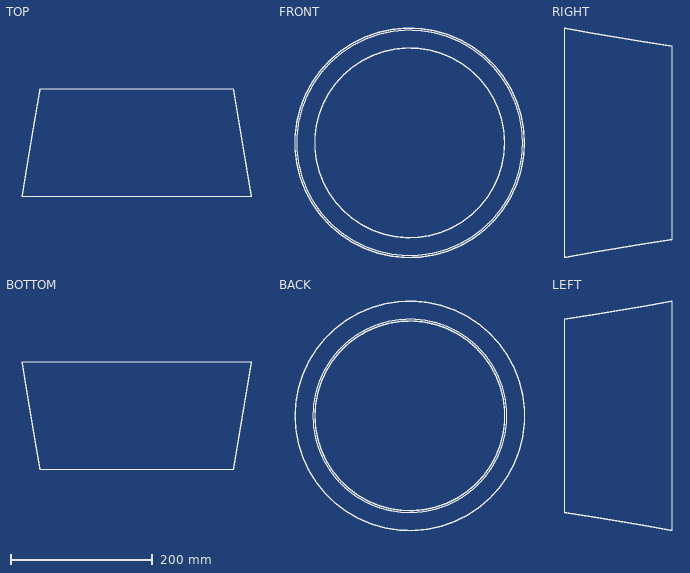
import cadquery as cq

large_diameter = 324.0
small_diameter = 273.0
length = 152.0
rim_width = 3.0

large_radius = large_diameter / 2
small_radius = small_diameter / 2
large_end_y = -length / 2
small_end_y = length / 2


def make_reducer():
    """Revolve the wall section about the Y axis, with the wide end at -Y."""
    wall_section = [
        (large_radius - rim_width, large_end_y),
        (large_radius, large_end_y),
        (small_radius, small_end_y),
        (small_radius - rim_width, small_end_y),
    ]
    return (
        cq.Workplane("XY")
        .polyline(wall_section)
        .close()
        .revolve(360, (0, 0, 0), (0, 1, 0))
    )


result = make_reducer()